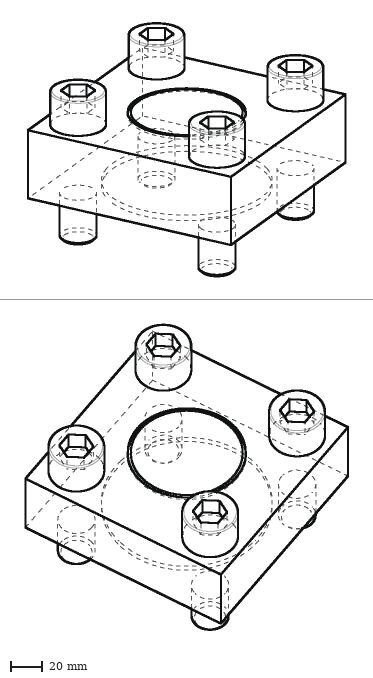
import cadquery as cq
import math

plate_side = 150.0
plate_thickness = 48.0

spigot_diameter = 110.0
spigot_height = 3.9

groove_outer_diameter = 76.0
groove_inner_diameter = 72.0
groove_depth = (groove_outer_diameter - groove_inner_diameter) / 2

screw_spacing = 102.6
shank_diameter = 24.0
shank_projection = 32.0
shank_chamfer = 2.0
head_diameter = 36.0
head_height = 24.0
head_fillet = 1.0
socket_across_flats = 19.0
socket_depth = 12.0


def make_plate():
    plate = cq.Workplane("XY").rect(plate_side, plate_side).extrude(plate_thickness)
    spigot = cq.Workplane("XY").circle(spigot_diameter / 2).extrude(-spigot_height)
    return plate.union(spigot)


def make_groove():
    """Triangular section revolved about the vertical axis."""
    outer_radius = groove_outer_diameter / 2
    return (
        cq.Workplane("XZ")
        .moveTo(groove_inner_diameter / 2, plate_thickness)
        .lineTo(outer_radius, plate_thickness)
        .lineTo(outer_radius, plate_thickness - groove_depth)
        .close()
        .revolve(360, (0, 0, 0), (0, 1, 0))
    )


def make_screw():
    """Screw on the Z axis, with its head resting on the plate."""
    head_top = plate_thickness + head_height
    shank = (
        cq.Workplane("XY")
        .workplane(offset=-shank_projection)
        .circle(shank_diameter / 2)
        .extrude(shank_projection + plate_thickness)
        .faces("<Z")
        .chamfer(shank_chamfer)
    )
    head = (
        cq.Workplane("XY")
        .workplane(offset=plate_thickness)
        .circle(head_diameter / 2)
        .extrude(head_height)
        .faces(">Z")
        .fillet(head_fillet)
    )
    across_corners = socket_across_flats / math.cos(math.pi / 6)
    socket = (
        cq.Workplane("XY")
        .workplane(offset=head_top)
        .polygon(6, across_corners)
        .extrude(-socket_depth)
        .rotate((0, 0, 0), (0, 0, 1), 90)
    )
    return shank.union(head).cut(socket)


result = make_plate().cut(make_groove())
screw = make_screw()
for x_side in (-1, 1):
    for y_side in (-1, 1):
        screw_position = (x_side * screw_spacing / 2, y_side * screw_spacing / 2, 0)
        result = result.union(screw.translate(screw_position))